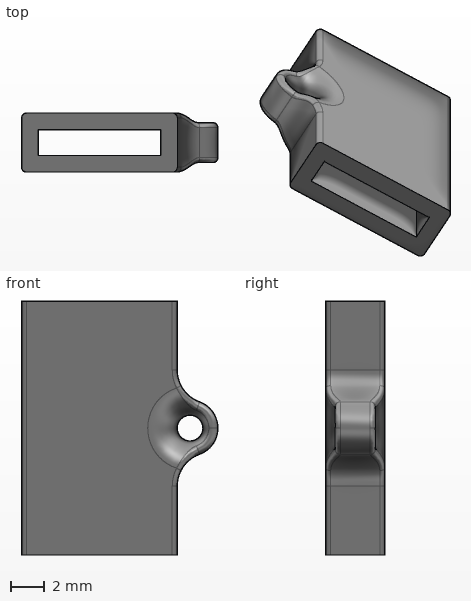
import cadquery as cq
import math

height = 15.0
body_width = 9.2
thickness = 3.5
edge_radius = 0.3

wall = 0.99
slot_depth = 1.5

overall_width = 11.6
lug_radius = 1.65
neck_radius = 2.0
bore_radius = 0.75

half_thickness = thickness / 2
lug_x = overall_width - lug_radius
lug_z = height / 2


def make_blank():
    """Body outline with the lug blended into the right side by two neck arcs."""
    neck_x = body_width + neck_radius
    center_distance = lug_radius + neck_radius
    neck_rise = math.sqrt(center_distance**2 - (neck_x - lug_x) ** 2)

    touch_ratio = lug_radius / center_distance
    touch_x = lug_x + (neck_x - lug_x) * touch_ratio
    touch_rise = neck_rise * touch_ratio

    touch_angle = math.atan2(touch_rise - neck_rise, touch_x - neck_x)
    middle_angle = (touch_angle - math.pi) / 2
    middle_x = neck_x + neck_radius * math.cos(middle_angle)
    middle_rise = neck_rise + neck_radius * math.sin(middle_angle)

    return (
        cq.Workplane("XZ")
        .lineTo(body_width, 0)
        .lineTo(body_width, lug_z - neck_rise)
        .threePointArc((middle_x, lug_z - middle_rise), (touch_x, lug_z - touch_rise))
        .threePointArc((overall_width, lug_z), (touch_x, lug_z + touch_rise))
        .threePointArc((middle_x, lug_z + middle_rise), (body_width, lug_z + neck_rise))
        .lineTo(body_width, height)
        .lineTo(0, height)
        .close()
        .extrude(half_thickness, both=True)
    )


def make_eyelet_cutter():
    """Hole along Y whose wall is a half-circle arc, flaring smoothly to both faces."""
    mouth_radius = bore_radius + half_thickness
    return (
        cq.Workplane("XY")
        .moveTo(0, -half_thickness)
        .lineTo(mouth_radius, -half_thickness)
        .threePointArc((bore_radius, 0), (mouth_radius, half_thickness))
        .lineTo(0, half_thickness)
        .close()
        .revolve(360, (0, 0, 0), (0, 1, 0))
        .translate((lug_x, 0, lug_z))
    )


def round_long_edges(part):
    """Round both sides of the left wall and of the right wall around the lug."""
    part = part.edges("|Z").edges("<X").fillet(edge_radius)
    return part.edges("|Z").edges(">X").fillet(edge_radius)


def cut_slot(part):
    slot_width = body_width - 2 * wall
    slot = cq.Workplane("XY").box(slot_width, slot_depth, height, centered=(False, True, False))
    return part.cut(slot.translate((wall, 0, 0)))


result = cut_slot(round_long_edges(make_blank().cut(make_eyelet_cutter())))